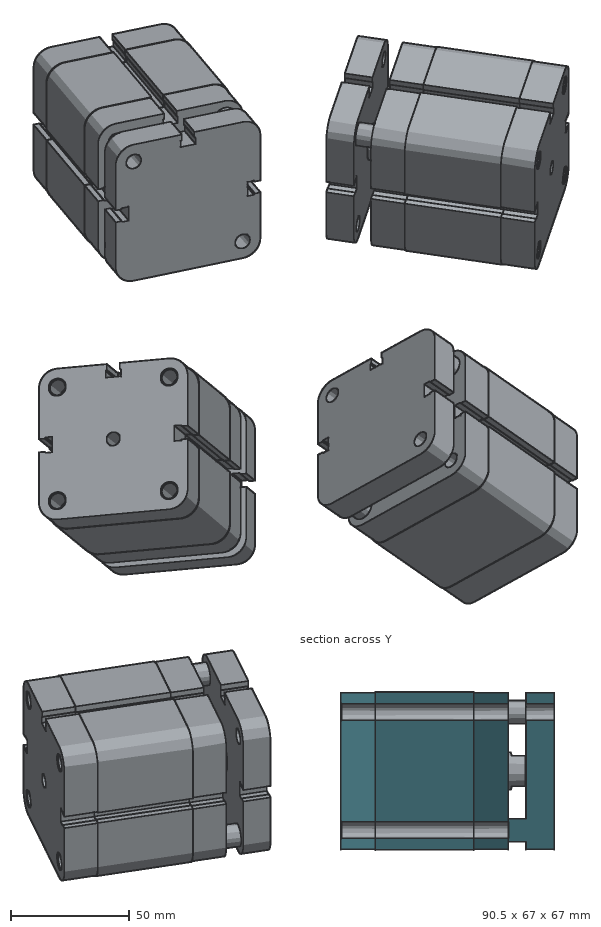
import cadquery as cq


overall_length = 90.5
cap_length = 14.7
barrel_length = 41.7
plate_thickness = 12.0
barrel_start = cap_length
front_cap_start = barrel_start + barrel_length
front_cap_end = front_cap_start + cap_length
plate_start = overall_length - plate_thickness
gap_length = plate_start - front_cap_end

cap_width = 66.4
barrel_outset = 0.3
corner_offset = 25.0

slot_neck_width = 5.8
slot_width = 6.8
slot_floor = 27.2
slot_shoulder = 30.1
slot_angles = (0, 90, -90)

corner_hole_diameter = 6.8
corner_hole_chamfer = 0.45
port_diameter = 6.0

rod_diameter = 16.0
rod_chamfer = 0.4
flat_spacing = 13.0
flat_start = 1.45
flat_runout = 0.45
pin_diameter = 10.0
pin_centres = ((corner_offset, corner_offset), (-corner_offset, -corner_offset))
hole_centres = ((-corner_offset, corner_offset), (corner_offset, -corner_offset))


def plane_at(x):
    """Plane across the axis at x: local coordinates are Y and Z, its normal is +X."""
    return cq.Workplane("YZ", origin=(x, 0, 0))


def slot_cutter(start, length, outset):
    """One T-slot in the +Z side, with sloped shoulders; the outset makes it narrower and shallower."""
    top = cap_width / 2 + outset
    floor = slot_floor + outset
    half_slot = slot_width / 2 - outset
    half_neck = slot_neck_width / 2 - outset
    neck_bottom = slot_shoulder + half_slot - half_neck
    half_outline = [
        (half_slot, floor),
        (half_slot, slot_shoulder),
        (half_neck, neck_bottom),
        (half_neck, top),
    ]
    other_half = [(-y, z) for y, z in reversed(half_outline)]
    return plane_at(start).polyline(half_outline + other_half).close().extrude(length)


def slotted_block(start, length, outset=0.0):
    """Square block with rounded corners and the three T-slots."""
    width = cap_width + 2 * outset
    block = plane_at(start).rect(width, width).extrude(length)
    block = block.edges("|X").fillet(width / 2 - corner_offset)
    cutter = slot_cutter(start, length, outset)
    for angle in slot_angles:
        block = block.cut(cutter.rotate((0, 0, 0), (1, 0, 0), angle))
    return block


def corner_holes(start, length, centres):
    """Cylinders that cut the corner holes at the given centres."""
    return plane_at(start).pushPoints(centres).circle(corner_hole_diameter / 2).extrude(length)


def make_housing_section(start, length, outset=0.0):
    """Housing section with its four corner holes running right through."""
    section = slotted_block(start, length, outset)
    return section.cut(corner_holes(start, length, hole_centres + pin_centres))


def make_rear_cap():
    """End cap with chamfered corner holes and the central port."""
    cap = make_housing_section(0, cap_length)
    hole_rims = cap.faces("<X").edges("%CIRCLE").edges(cq.selectors.RadiusNthSelector(0))
    cap = hole_rims.chamfer(corner_hole_chamfer)
    port = plane_at(0).circle(port_diameter / 2).extrude(cap_length)
    return cap.cut(port)


def make_piston_rod():
    """Rod from the front cap to the yoke plate, with two wrench flats."""
    rod = plane_at(front_cap_end).circle(rod_diameter / 2).extrude(gap_length)
    rod = rod.faces(">X").chamfer(rod_chamfer)
    flat_x = front_cap_end + flat_start
    flat_cutter = (
        cq.Workplane("XZ")
        .polyline([
            (flat_x, flat_spacing / 2),
            (flat_x - flat_runout, rod_diameter / 2),
            (plate_start, rod_diameter / 2),
            (plate_start, flat_spacing / 2),
        ])
        .close()
        .extrude(rod_diameter / 2, both=True)
    )
    return rod.cut(flat_cutter).cut(flat_cutter.mirror("XY"))


def make_yoke_plate():
    """Plate with two through holes and, on the other diagonal, the two guide pins."""
    plate = slotted_block(plate_start, plate_thickness)
    plate = plate.cut(corner_holes(plate_start, plate_thickness, hole_centres))
    pins = plane_at(front_cap_end).pushPoints(pin_centres).circle(pin_diameter / 2).extrude(gap_length)
    return plate.union(pins)


rear_cap = make_rear_cap()
barrel = make_housing_section(barrel_start, barrel_length, barrel_outset)
front_cap = make_housing_section(front_cap_start, cap_length)
piston_rod = make_piston_rod()
yoke_plate = make_yoke_plate()

result = cq.Compound.makeCompound([
    rear_cap.val(),
    barrel.val(),
    front_cap.val(),
    piston_rod.val(),
    yoke_plate.val(),
])